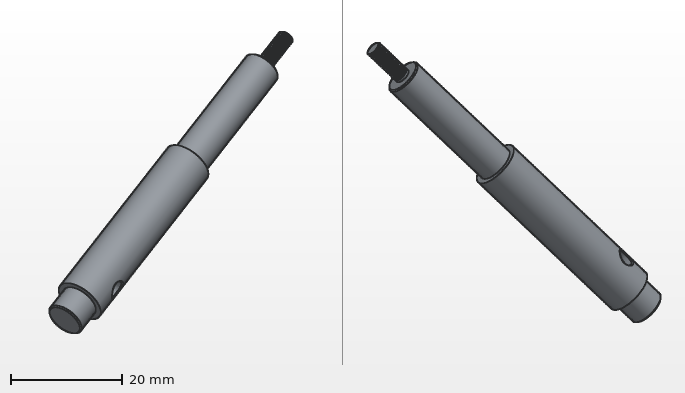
import cadquery as cq
import math


plug_length = 5.0
sleeve_length = 36.0
rod_length = 25.0
stud_length = 8.0

sleeve_diameter = 9.0
rod_diameter = 6.95
edge_chamfer = 0.25

hole_diameter = 3.2
hole_setback = 5.65

thread_major = 2.93
thread_minor = 2.36
thread_pitch = 0.5
flank_half_angle = 30.0
crest_width = thread_pitch / 8
thread_start_angle = 270.0
neck_length = 0.5

sleeve_front = plug_length
rod_front = sleeve_front + sleeve_length
stud_front = rod_front + rod_length
hole_axis = sleeve_front + hole_setback


def cylinder_along_y(diameter, start, length):
    """Round bar on the Y axis, running toward +Y from start."""
    plane = cq.Plane(origin=(0, start, 0), xDir=(1, 0, 0), normal=(0, 1, 0))
    return cq.Workplane(plane).circle(diameter / 2).extrude(length)


def make_front_plug():
    """Short bar with a chamfered front edge."""
    return cylinder_along_y(rod_diameter, 0, plug_length).faces("<Y").chamfer(edge_chamfer)


def make_rear_rod():
    """Long bar with a chamfered edge around the stud end."""
    return cylinder_along_y(rod_diameter, rod_front, rod_length).faces(">Y").chamfer(edge_chamfer)


def make_sleeve():
    """Thick middle bar with a cross hole along X near its front end, chamfered at both mouths."""
    hole = (
        cq.Workplane("YZ")
        .center(hole_axis, 0)
        .circle(hole_diameter / 2)
        .extrude(sleeve_diameter, both=True)
    )
    drilled = cylinder_along_y(sleeve_diameter, sleeve_front, sleeve_length).cut(hole)
    around_hole = cq.selectors.BoxSelector(
        (-sleeve_diameter, hole_axis - hole_diameter, -hole_diameter),
        (sleeve_diameter, hole_axis + hole_diameter, hole_diameter),
        boundingbox=True,
    )
    return drilled.edges(around_hole).chamfer(edge_chamfer)


def make_thread_groove(length):
    """Right-hand helical V groove with a flat root, wound about Z upward from Z = 0."""
    major_radius = thread_major / 2
    minor_radius = thread_minor / 2
    flank_slope = math.tan(math.radians(flank_half_angle))
    clearance = 0.05
    half_mouth = (thread_pitch - crest_width) / 2
    half_root = half_mouth - (major_radius - minor_radius) * flank_slope
    half_outer = half_mouth + clearance * flank_slope
    outer_radius = major_radius + clearance
    section = [
        (minor_radius, -half_root),
        (outer_radius, -half_outer),
        (outer_radius, half_outer),
        (minor_radius, half_root),
    ]
    path = cq.Wire.makeHelix(thread_pitch, length, minor_radius)
    return cq.Workplane("XZ").polyline(section).close().sweep(path, isFrenet=True)


def make_stud():
    """Threaded stud with a plain neck at the rod; the groove runs out through the free end."""
    surplus = 2 * thread_pitch
    blank_length = stud_length + 2 * surplus
    groove_margin = surplus / 2
    blank = cq.Workplane("XY").circle(thread_major / 2).extrude(blank_length)
    groove = (
        make_thread_groove(blank_length - 2 * groove_margin)
        .rotate((0, 0, 0), (0, 0, 1), thread_start_angle)
        .translate((0, 0, groove_margin))
    )
    threaded = blank.cut(groove).translate((0, 0, -surplus))

    trim_radius = thread_major
    trim_length = 2 * surplus
    below = cq.Workplane("XY").workplane(offset=neck_length).circle(trim_radius).extrude(-trim_length)
    above = cq.Workplane("XY").workplane(offset=stud_length).circle(trim_radius).extrude(trim_length)
    neck = cq.Workplane("XY").circle(thread_major / 2).extrude(neck_length)
    stud = threaded.cut(below).cut(above).union(neck)
    return stud.rotate((0, 0, 0), (1, 0, 0), -90).translate((0, stud_front, 0))


front_plug = make_front_plug()
sleeve = make_sleeve()
rear_rod = make_rear_rod()
stud = make_stud()

result = cq.Compound.makeCompound([front_plug.val(), sleeve.val(), rear_rod.val(), stud.val()])